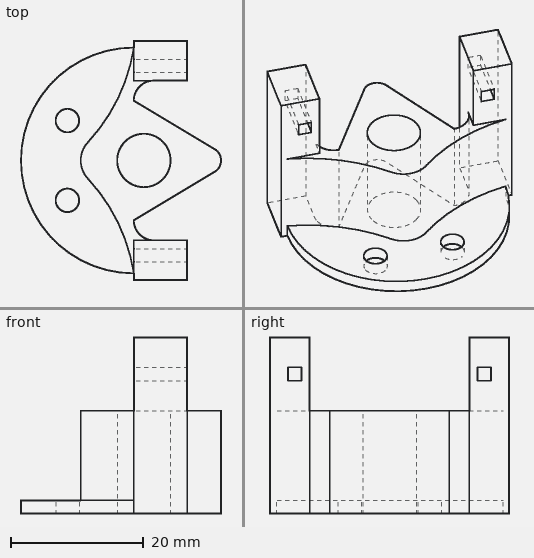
import cadquery as cq
import math

disc_radius = 17.0
disc_thickness = 2.0
screw_hole_diameter = 3.5
screw_hole_x = -10.0
screw_hole_y = 6.0

post_length = 8.0
post_width = 6.0
post_height = 26.5
post_outer_y = 18.0
post_inner_y = post_outer_y - post_width
window_size = 2.0
window_y = 14.25
window_z = 21.0

body_height = 15.5
bore_diameter = 8.0
bore_x = 1.5
nose_radius = 4.0
nose_x = -8.0
nose_centre_x = nose_x + nose_radius
flank_radius = 27.0
notch_radius = 3.0
notch_y = post_inner_y - notch_radius
tip_x = 13.13
tip_radius = 2.0


def flank_centre():
    """Centre of the hollow +Y flank: tangent to the nose and passing through the disc's +Y edge."""
    nose_distance = nose_radius + flank_radius
    span = math.hypot(nose_centre_x, disc_radius)
    along = (nose_distance**2 - flank_radius**2 + span**2) / (2 * span)
    across = math.sqrt(nose_distance**2 - along**2)
    unit_x = -nose_centre_x / span
    unit_y = disc_radius / span
    return nose_centre_x + along * unit_x - across * unit_y, along * unit_y + across * unit_x


def flank_points():
    """End of the nose arc and the middle of the flank arc, both on the +Y side."""
    centre_x, centre_y = flank_centre()
    nose_angle = math.atan2(-centre_y, nose_centre_x - centre_x)
    edge_angle = math.atan2(disc_radius - centre_y, -centre_x)
    middle_angle = (nose_angle + edge_angle) / 2

    def on_flank(angle):
        return centre_x + flank_radius * math.cos(angle), centre_y + flank_radius * math.sin(angle)

    return on_flank(nose_angle), on_flank(middle_angle)


def tip_tangent():
    """Point where the straight +Y side, starting at the notch, runs tangentially into the tip arc."""
    centre_x = tip_x - tip_radius
    distance = math.hypot(centre_x, notch_y)
    normal_angle = math.atan2(notch_y, -centre_x) - math.acos(tip_radius / distance)
    return centre_x + tip_radius * math.cos(normal_angle), tip_radius * math.sin(normal_angle)


def mirrored(point):
    """The same point on the -Y side."""
    return point[0], -point[1]


def make_base():
    """Half disc with two screw holes."""
    half_disc = (
        cq.Workplane("XY")
        .moveTo(0, disc_radius)
        .threePointArc((-disc_radius, 0), (0, -disc_radius))
        .close()
        .extrude(disc_thickness)
    )
    screw_holes = (
        cq.Workplane("XY")
        .pushPoints([(screw_hole_x, screw_hole_y), (screw_hole_x, -screw_hole_y)])
        .circle(screw_hole_diameter / 2)
        .extrude(disc_thickness)
    )
    return half_disc.cut(screw_holes)


def make_body():
    """Central block: rounded nose, hollow flanks, round notches beside the posts and a tapered tip."""
    nose_end, flank_middle = flank_points()
    side_end = tip_tangent()
    disc_edge = (0, disc_radius)
    notch_start = (notch_radius, post_inner_y)
    notch_diagonal = notch_radius * math.cos(math.radians(45))
    notch_middle = (notch_radius - notch_diagonal, notch_y + notch_diagonal)
    notch_end = (0, notch_y)
    post_corner = (notch_radius, disc_radius)
    return (
        cq.Workplane("XY")
        .moveTo(*mirrored(nose_end))
        .threePointArc((nose_x, 0), nose_end)
        .threePointArc(flank_middle, disc_edge)
        .lineTo(*post_corner)
        .lineTo(*notch_start)
        .threePointArc(notch_middle, notch_end)
        .lineTo(*side_end)
        .threePointArc((tip_x, 0), mirrored(side_end))
        .lineTo(*mirrored(notch_end))
        .threePointArc(mirrored(notch_middle), mirrored(notch_start))
        .lineTo(*mirrored(post_corner))
        .lineTo(*mirrored(disc_edge))
        .threePointArc(mirrored(flank_middle), mirrored(nose_end))
        .close()
        .extrude(body_height)
    )


def make_post(side):
    """Post with a square window along X; side is +1 or -1 for the +Y or -Y post."""
    centre_x = post_length / 2
    centre_y = side * (post_outer_y + post_inner_y) / 2
    post = (
        cq.Workplane("XY")
        .center(centre_x, centre_y)
        .rect(post_length, post_width)
        .extrude(post_height)
    )
    window = cq.Workplane("XY").box(post_length, window_size, window_size)
    return post.cut(window.translate((centre_x, side * window_y, window_z)))


bore = cq.Workplane("XY").center(bore_x, 0).circle(bore_diameter / 2).extrude(body_height)

result = make_base().union(make_body())
for side in (1, -1):
    result = result.union(make_post(side))
result = result.cut(bore)